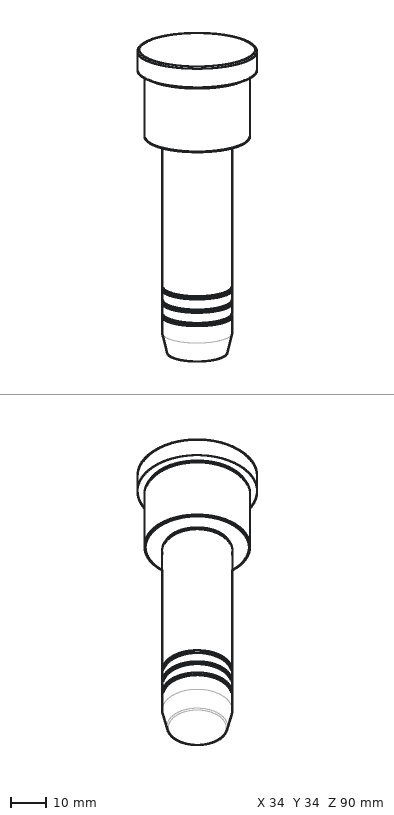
import cadquery as cq

length = 90.0
head_radius = 17.0
collar_radius = 15.0
shaft_radius = 10.0
tip_radius = 8.55

head_height = 6.0
collar_height = 20.0
tip_height = 6.0
head_bottom = length - head_height
collar_bottom = head_bottom - collar_height

head_chamfer = 0.5
collar_chamfer = 0.4
tip_fillet = 0.45
relief_height = 1.0
relief_depth = 0.5
relief_run_out = 0.7

groove_count = 3
groove_width = 1.0
groove_depth = 0.4
groove_pitch = 4.0
lowest_groove = 11.5


def cylinder(radius, bottom, top):
    return cq.Workplane("XY").workplane(offset=bottom).circle(radius).extrude(top - bottom)


def relief(radius, top):
    """Ring cut below a shoulder, with a rounded run-out at its lower end."""
    floor = radius - relief_depth
    run_out_top = top - relief_height + relief_run_out
    return (
        cq.Workplane("XZ")
        .moveTo(radius, top)
        .lineTo(floor, top)
        .lineTo(floor, run_out_top)
        .tangentArcPoint((radius, top - relief_height), relative=False)
        .close()
        .revolve(360, (0, 0, 0), (0, 1, 0))
    )


def groove(center):
    """Shallow ring with a V cross-section."""
    half_width = groove_width / 2
    return (
        cq.Workplane("XZ")
        .moveTo(shaft_radius, center - half_width)
        .lineTo(shaft_radius - groove_depth, center)
        .lineTo(shaft_radius, center + half_width)
        .close()
        .revolve(360, (0, 0, 0), (0, 1, 0))
    )


head = cylinder(head_radius, head_bottom, length).faces(">Z").edges().chamfer(head_chamfer)
collar = cylinder(collar_radius, collar_bottom, head_bottom).faces("<Z").edges().chamfer(collar_chamfer)
shaft = cylinder(shaft_radius, tip_height, collar_bottom)

tip = (
    cq.Workplane("XY")
    .circle(tip_radius)
    .workplane(offset=tip_height)
    .circle(shaft_radius)
    .loft()
    .faces("<Z")
    .edges()
    .fillet(tip_fillet)
)

result = head.union(collar).union(shaft).union(tip)

result = result.cut(relief(collar_radius, head_bottom))
result = result.cut(relief(shaft_radius, collar_bottom))

for index in range(groove_count):
    result = result.cut(groove(lowest_groove + index * groove_pitch))